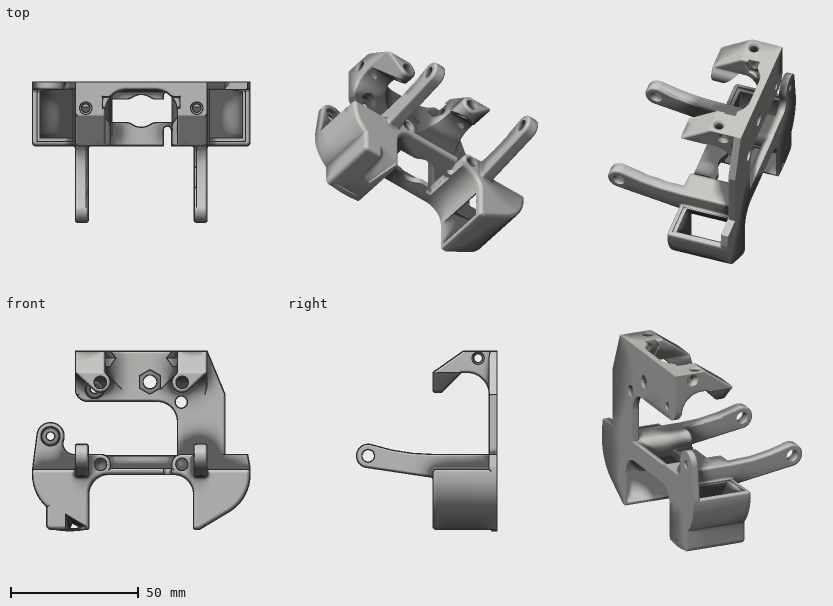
import cadquery as cq
import math


HALF_WIDTH = 42.6
TOP_Z = 70.3
BODY_DEPTH = 25.1
PLATE_THICKNESS = 3.1
EDGE_ROUND = 0.9
NEAR = 0.1

BRACKET_HALF_WIDTH = 25.8
BRACKET_BOTTOM_Z = 50.7
BRACKET_CORNER_RADIUS = 4.85
WING_INNER_X = 14.1
SLOPE_START_Y = -13.3
COVE_RADIUS = 8.5
COVE_BOTTOM_Z = 53.5
COVE_END_Y = -PLATE_THICKNESS - COVE_RADIUS
WING_FRONT_Z = COVE_BOTTOM_Z + COVE_RADIUS
SOCKET_START_Y = -14.0
SOCKET_X = 16.0
SOCKET_Z = 58.15
SOCKET_RADIUS = 3.9
SOCKET_HOLE_DIAMETER = 4.85

COLUMN_OUTER_X = 32.9
COLUMN_SLOPE_Z = 53.3
COLUMN_CORNER_RADIUS = 7.8
SIDE_TAB_X = 41.6
SIDE_TAB_LOW_Z = 24.95

SCREW_DIAMETER = 3.4
SCREW_MOUTH_DIAMETER = 4.85
WING_SCREW_Y = -7.4
WING_SCREW_Z = 67.6
WING_NUT_WIDTH = 6.6
WING_NUT_SEAT_X = 15.2
WING_NUT_Y = -8.0
TOP_SCREW_X = 21.7
TOP_SCREW_Y = -10.3
PLATE_NUT_X = 3.4
PLATE_NUT_Z = 58.3
PLATE_NUT_WIDTH = 8.35
PLATE_NUT_FLOOR = 1.3
PLATE_BORE_DIAMETER = 5.4
PLATE_HOLE_X = 15.7
PLATE_HOLE_Z = 50.4
PLATE_HOLE_DIAMETER = 4.7
PIVOT_HOLE_DIAMETER = 3.3
PIVOT_RECESS_DIAMETER = 6.7
PIVOT_RECESS_DEPTH = 2.1
PIVOT_MOUTH_CHAMFER = 0.4
BRACKET_PIVOT_X = -18.2
BRACKET_PIVOT_Z = 55.5

LUG_X = -35.5
LUG_Z = 37.0
LUG_RADIUS = 5.4
LUG_COVE_X = -26.4

RIM_Z = 24.1
SHELF_TOP_Z = 24.5
SHELF_BOTTOM_Z = 22.05
SHELF_ROUND = 0.85
LEG_INNER_X = 20.4
LEG_BOTTOM_Z = 0.6
LEG_TOE_X = 22.8
ARCH_RADIUS = 7.7
HOPPER_RADIUS = 17.0
HOPPER_WALL = 3.0
LEG_ROUND = 1.45
TOE_ROUND = 0.85
FOOT_ROUND = 1.9
LEFT_LEG_OUTER_X = -37.0
MOUTH_INNER_X = 26.4
MOUTH_BACK_Y = -3.75
MOUTH_FRONT_Y = -22.05
LEDGE_DEPTH = 1.0
LEDGE_INNER_X = 25.9
LEDGE_OUTER_X = 40.9
LEDGE_FRONT_Y = -23.4
CHUTE_BEND_Z = RIM_Z - LEDGE_DEPTH
CHUTE_EXIT_TOP_Z = 14.05
CHUTE_EXIT_BACK_Y = -0.8
CHUTE_LIP_Z = 1.9

NOTCH_X = -29.6
NOTCH_TOP_Z = 6.55
NOTCH_END_X = -21.7
NOTCH_END_Z = 1.9
LIP_THICKNESS = 2.2
LIP_LEFT_X = -34.05
LIP_RIGHT_X = -21.8
LIP_WINDOW = [(-27.9, 0.9), (-27.1, 3.1), (-24.5, 1.8), (-24.9, 0.9)]

BLOCK_INNER_X = 12.0
BLOCK_TOP_Z = 30.0
BLOCK_ROUND = 3.8
BLOCK_HOLE_X = 15.9
BLOCK_HOLE_Z = 26.05
BLOCK_HOLE_DEPTH = 6.8
DRILL_TIP_ANGLE = 118.0
BLOCK_STEP_X = 11.5
BLOCK_STEP_Z = 25.4
BAR_DEPTH = 3.9
BAR_TOP_Z = 29.5
BAR_ROUND = 3.1

GAP_BACK_Y = -6.8
GAP_FRONT_Y = -15.9
GAP_HALF_LENGTH = 12.1
BULGE_RADIUS = 6.4
BULGE_BLEND = 4.25
SLOT_X = 10.2
SLOT_WIDTH = 3.1
SLOT_END_ROUND = 1.45
SLOT_END_Y = -17.4
GAP_POCKET_X = 8.7

ARM_WIDTH = 5.1
ARM_TIP_Y = -50.4
ARM_TIP_Z = 29.4
ARM_TIP_RADIUS = 4.6
ARM_HOLE_DIAMETER = 4.85
ARM_ROOT_Z = 20.95
ARM_ROOT_FLARE = 0.85


def tangent_point(point, center, radius, side):
    """Point where a line from `point` touches a circle; side +1 is anticlockwise."""
    dx = point[0] - center[0]
    dz = point[1] - center[1]
    angle = math.atan2(dz, dx) + side * math.acos(radius / math.hypot(dx, dz))
    return polar(center, radius, angle)


def polar(center, radius, angle):
    return (center[0] + radius * math.cos(angle), center[1] + radius * math.sin(angle))


def angle_at(point, center):
    return math.atan2(point[1] - center[1], point[0] - center[0])


def front_plane(y=0.0):
    """XZ sketch plane at depth y; extrusions grow toward -Y."""
    return cq.Workplane("XZ", origin=(0, y, 0))


def box(x_range, y_range, z_range):
    """Block between the given limits."""
    size = [abs(b - a) for a, b in (x_range, y_range, z_range)]
    low = [min(pair) for pair in (x_range, y_range, z_range)]
    return cq.Workplane("XY").box(*size, centered=False).translate(tuple(low))


def both_sides(shape):
    """The shape together with its mirror image across X = 0."""
    return shape.union(shape.mirror("YZ"))


def hole_y(x, z, diameter, y=0.0, depth=BODY_DEPTH):
    return front_plane(y).center(x, z).circle(diameter / 2).extrude(depth)


def cove_beside(center, radius, foot):
    """Concave arc that leaves a level edge at `foot` and touches a circle: radius, touch point."""
    reach = foot[0] - center[0]
    rise = center[1] - foot[1]
    cove_radius = (reach**2 + rise**2 - radius**2) / (2 * (radius + rise))
    cove_center = (foot[0], foot[1] + cove_radius)
    return cove_radius, polar(center, radius, angle_at(cove_center, center))


def hopper_curve(radius, end_point):
    """Arc midpoint and end of a hopper wall: from vertical, round to a line to end_point."""
    center = (HALF_WIDTH - HOPPER_RADIUS, SHELF_BOTTOM_Z)
    end = tangent_point(end_point, center, radius, 1)
    middle = polar(center, radius, angle_at(end, center) / 2)
    return middle, end


def upper_plate():
    """Plate below and beside the wings; it stops inside them, short of the rounded recess mouth."""
    corner = COLUMN_CORNER_RADIUS
    corner_end = (-BRACKET_HALF_WIDTH, BRACKET_BOTTOM_Z + BRACKET_CORNER_RADIUS)
    plate = (
        front_plane()
        .moveTo(-BRACKET_HALF_WIDTH, SOCKET_Z)
        .lineTo(TOP_SCREW_X, SOCKET_Z)
        .lineTo(TOP_SCREW_X, TOP_Z)
        .lineTo(BRACKET_HALF_WIDTH, TOP_Z)
        .lineTo(COLUMN_OUTER_X, COLUMN_SLOPE_Z)
        .lineTo(COLUMN_OUTER_X, SHELF_BOTTOM_Z)
        .lineTo(WING_INNER_X, SHELF_BOTTOM_Z)
        .lineTo(WING_INNER_X, BRACKET_BOTTOM_Z - corner)
        .radiusArc((WING_INNER_X - corner, BRACKET_BOTTOM_Z), -corner)
        .lineTo(-BRACKET_HALF_WIDTH + BRACKET_CORNER_RADIUS, BRACKET_BOTTOM_Z)
        .radiusArc(corner_end, BRACKET_CORNER_RADIUS)
        .close()
        .extrude(PLATE_THICKNESS)
    )
    rounded = plate.faces("<Y").edges().filter(
        lambda e: SHELF_BOTTOM_Z + NEAR < e.Center().z < SOCKET_Z - NEAR
        or e.Center().x > BRACKET_HALF_WIDTH + NEAR
    )
    return plate.newObject(rounded.vals()).fillet(EDGE_ROUND)


def side_tab():
    tab = (
        front_plane()
        .polyline(
            [
                (BRACKET_HALF_WIDTH, SHELF_BOTTOM_Z),
                (HALF_WIDTH, SHELF_BOTTOM_Z),
                (HALF_WIDTH, SIDE_TAB_LOW_Z),
                (SIDE_TAB_X, BLOCK_TOP_Z),
                (BRACKET_HALF_WIDTH, BLOCK_TOP_Z),
            ]
        )
        .close()
        .extrude(PLATE_THICKNESS)
    )
    rounded = tab.faces("<Y").edges().filter(lambda e: e.Center().x > SIDE_TAB_X)
    return tab.newObject(rounded.vals()).fillet(EDGE_ROUND)


def lug_plate():
    lug = (LUG_X, LUG_Z)
    side_foot = (-HALF_WIDTH, RIM_Z)
    side_touch = tangent_point(side_foot, lug, LUG_RADIUS, -1)
    cove_radius, cove_touch = cove_beside(lug, LUG_RADIUS, (LUG_COVE_X, BLOCK_TOP_Z))
    plate = (
        front_plane()
        .moveTo(-BRACKET_HALF_WIDTH + ARM_WIDTH, SHELF_BOTTOM_Z)
        .lineTo(-HALF_WIDTH, SHELF_BOTTOM_Z)
        .lineTo(*side_foot)
        .lineTo(*side_touch)
        .threePointArc((LUG_X, LUG_Z + LUG_RADIUS), cove_touch)
        .radiusArc((LUG_COVE_X, BLOCK_TOP_Z), -cove_radius)
        .lineTo(-BRACKET_HALF_WIDTH + ARM_WIDTH, BLOCK_TOP_Z)
        .close()
        .extrude(PLATE_THICKNESS)
    )
    rounded = plate.faces("<Y").edges().filter(
        lambda e: e.Center().z > SHELF_BOTTOM_Z + NEAR and e.Center().x < LUG_COVE_X
    )
    return plate.newObject(rounded.vals()).fillet(EDGE_ROUND)


def pivot_hole(x, z):
    """Through hole with a round recess whose mouth is chamfered."""
    mouth_y = -PLATE_THICKNESS
    recess = hole_y(x, z, PIVOT_RECESS_DIAMETER, mouth_y + PIVOT_RECESS_DEPTH, COVE_RADIUS)
    mouth = (
        front_plane(mouth_y + PIVOT_MOUTH_CHAMFER)
        .center(x, z)
        .circle(PIVOT_RECESS_DIAMETER / 2)
        .workplane(offset=PIVOT_MOUTH_CHAMFER)
        .circle(PIVOT_RECESS_DIAMETER / 2 + PIVOT_MOUTH_CHAMFER)
        .loft(ruled=True)
    )
    return hole_y(x, z, PIVOT_HOLE_DIAMETER, depth=PLATE_THICKNESS).union(recess).union(mouth)


def wing():
    """The +X wing with its socket, sharp-edged, before the recess between the wings is cut."""
    body = (
        cq.Workplane("YZ")
        .moveTo(0, TOP_Z)
        .lineTo(SLOPE_START_Y, TOP_Z)
        .lineTo(-BODY_DEPTH, WING_FRONT_Z)
        .lineTo(COVE_END_Y, WING_FRONT_Z)
        .radiusArc((-PLATE_THICKNESS, COVE_BOTTOM_Z), COVE_RADIUS)
        .lineTo(0, COVE_BOTTOM_Z)
        .close()
        .extrude(BRACKET_HALF_WIDTH)
    )
    beside_recess = box((WING_INNER_X, 0), (COVE_END_Y, -2 * BODY_DEPTH), (0, TOP_Z))
    return body.cut(beside_recess).union(socket())


def on_wing_front(edge):
    """True for the outline of the sloped wing face and of the socket's front end."""
    center = edge.Center()
    on_slope = center.y < SLOPE_START_Y - NEAR and center.z > WING_FRONT_Z + NEAR
    on_front = abs(center.y + BODY_DEPTH) < NEAR
    return on_slope or on_front


def socket():
    """Round socket hanging below the front of the +X wing, cut back at 45 degrees."""
    center = (SOCKET_X, SOCKET_Z)
    outer_top = (BRACKET_HALF_WIDTH, WING_FRONT_Z)
    inner_top = (WING_INNER_X, WING_FRONT_Z)
    outer_touch = tangent_point(outer_top, center, SOCKET_RADIUS, -1)
    inner_touch = tangent_point(inner_top, center, SOCKET_RADIUS, 1)
    body = (
        front_plane()
        .moveTo(*inner_top)
        .lineTo(*inner_touch)
        .threePointArc((SOCKET_X, SOCKET_Z - SOCKET_RADIUS), outer_touch)
        .lineTo(*outer_top)
        .close()
        .extrude(BODY_DEPTH)
    )
    drop = BODY_DEPTH + SOCKET_START_Y
    cut_back = (
        cq.Workplane("YZ")
        .polyline(
            [
                (SOCKET_START_Y, WING_FRONT_Z),
                (-BODY_DEPTH, WING_FRONT_Z),
                (-BODY_DEPTH, WING_FRONT_Z - drop),
            ]
        )
        .close()
        .extrude(BRACKET_HALF_WIDTH)
    )
    return body.intersect(cut_back)


def wing_recess():
    """Rounded recess open to the front."""
    flat_half = WING_INNER_X - COVE_RADIUS
    return (
        cq.Workplane("XY", origin=(0, 0, COVE_BOTTOM_Z))
        .moveTo(-WING_INNER_X, COVE_END_Y)
        .radiusArc((-flat_half, -PLATE_THICKNESS), COVE_RADIUS)
        .lineTo(flat_half, -PLATE_THICKNESS)
        .radiusArc((WING_INNER_X, COVE_END_Y), COVE_RADIUS)
        .close()
        .extrude(TOP_Z)
    )


def rounded_bracket():
    """Both wings joined, with the recess cut and its mouth at the top face rounded over."""
    bracket = both_sides(wing()).cut(wing_recess())
    mouth = bracket.faces(">Z").edges().filter(
        lambda e: abs(e.Center().x) < WING_INNER_X and -BODY_DEPTH / 2 < e.Center().y < -NEAR
    )
    bracket = bracket.newObject(mouth.vals()).fillet(EDGE_ROUND)
    fronts = bracket.edges().filter(on_wing_front)
    bracket = bracket.newObject(fronts.vals()).fillet(EDGE_ROUND)
    outer_cove = bracket.edges().filter(
        lambda e: abs(e.Center().x) > BRACKET_HALF_WIDTH - NEAR
        and SOCKET_START_Y < e.Center().y < -PLATE_THICKNESS
        and COVE_BOTTOM_Z < e.Center().z < WING_FRONT_Z + NEAR
    )
    return bracket.newObject(outer_cove.vals()).fillet(EDGE_ROUND)


def plate_corner_waste():
    """Material outside the rounded lower left corner of the bracket."""
    left = -BRACKET_HALF_WIDTH
    radius = BRACKET_CORNER_RADIUS
    return (
        front_plane()
        .moveTo(left, BRACKET_BOTTOM_Z + radius)
        .lineTo(left, BRACKET_BOTTOM_Z)
        .lineTo(left + radius, BRACKET_BOTTOM_Z)
        .radiusArc((left, BRACKET_BOTTOM_Z + radius), radius)
        .close()
        .extrude(BODY_DEPTH)
    )


def wing_holes():
    """Holes of the +X wing: socket bore, top screw, and side screw with its nut pocket."""
    bore = hole_y(SOCKET_X, SOCKET_Z, SOCKET_HOLE_DIAMETER, SOCKET_START_Y)
    top_screw = (
        cq.Workplane("XY", origin=(TOP_SCREW_X, TOP_SCREW_Y, TOP_Z))
        .circle(SCREW_DIAMETER / 2)
        .extrude(-COVE_RADIUS)
        .union(screw_mouth(cq.Plane((TOP_SCREW_X, TOP_SCREW_Y, TOP_Z), (1, 0, 0), (0, 0, -1))))
    )
    side_plane = cq.Plane((BRACKET_HALF_WIDTH, WING_SCREW_Y, WING_SCREW_Z), (0, 1, 0), (-1, 0, 0))
    side_screw = (
        cq.Workplane(side_plane)
        .circle(SCREW_DIAMETER / 2)
        .extrude(BRACKET_HALF_WIDTH - WING_INNER_X + COVE_RADIUS)
        .union(screw_mouth(side_plane))
    )
    nut = (
        cq.Workplane(side_plane)
        .workplane(offset=BRACKET_HALF_WIDTH - WING_NUT_SEAT_X)
        .center(WING_NUT_Y - WING_SCREW_Y, 0)
        .polygon(6, hex_corners(WING_NUT_WIDTH))
        .extrude(COVE_RADIUS)
    )
    return bore.union(top_screw).union(side_screw).union(nut)


def hex_corners(across_flats):
    return across_flats / math.cos(math.pi / 6)


def screw_mouth(plane):
    """Countersink that narrows at 45 degrees into the part along the plane's normal."""
    depth = (SCREW_MOUTH_DIAMETER - SCREW_DIAMETER) / 2
    return (
        cq.Workplane(plane)
        .circle(SCREW_MOUTH_DIAMETER / 2)
        .workplane(offset=depth)
        .circle(SCREW_DIAMETER / 2)
        .loft(ruled=True)
    )


def plate_holes():
    nut = (
        front_plane(-PLATE_NUT_FLOOR)
        .center(PLATE_NUT_X, PLATE_NUT_Z)
        .transformed(rotate=(0, 0, 90))
        .polygon(6, hex_corners(PLATE_NUT_WIDTH))
        .extrude(COVE_RADIUS)
    )
    return (
        nut.union(hole_y(PLATE_NUT_X, PLATE_NUT_Z, PLATE_BORE_DIAMETER))
        .union(hole_y(PLATE_HOLE_X, PLATE_HOLE_Z, PLATE_HOLE_DIAMETER))
        .union(pivot_hole(LUG_X, LUG_Z))
        .union(pivot_hole(BRACKET_PIVOT_X, BRACKET_PIVOT_Z))
    )


def hopper_frame():
    """Solid outline of both hoppers, legs, arch and shelf, symmetric about X = 0."""
    middle, bend = hopper_curve(HOPPER_RADIUS, (LEG_TOE_X, LEG_BOTTOM_Z))
    arch_start = LEG_INNER_X - ARCH_RADIUS
    arch_foot_z = SHELF_BOTTOM_Z - ARCH_RADIUS
    half = (
        front_plane()
        .moveTo(0, SHELF_TOP_Z)
        .lineTo(BRACKET_HALF_WIDTH - ARM_WIDTH, SHELF_TOP_Z)
        .lineTo(BRACKET_HALF_WIDTH - ARM_WIDTH, RIM_Z)
        .lineTo(HALF_WIDTH, RIM_Z)
        .lineTo(HALF_WIDTH, SHELF_BOTTOM_Z)
        .threePointArc(middle, bend)
        .lineTo(LEG_TOE_X, LEG_BOTTOM_Z)
        .lineTo(LEG_INNER_X, LEG_BOTTOM_Z)
        .lineTo(LEG_INNER_X, arch_foot_z)
        .radiusArc((arch_start, SHELF_BOTTOM_Z), -ARCH_RADIUS)
        .lineTo(0, SHELF_BOTTOM_Z)
        .close()
        .extrude(BODY_DEPTH)
    )
    frame = both_sides(half).union(left_leg_block()).clean()
    bottom = frame.faces("<Z").edges("|Y")
    outer_foot = bottom.filter(lambda e: e.Center().x < LEFT_LEG_OUTER_X + NEAR)
    frame = frame.newObject(outer_foot.vals()).fillet(FOOT_ROUND)
    toes = frame.edges("|Y").filter(
        lambda e: e.Center().z < LEG_BOTTOM_Z + NEAR and abs(e.Center().x) < LEG_TOE_X + NEAR
    )
    frame = frame.newObject(toes.vals()).fillet(TOE_ROUND)
    side_rims = frame.edges("|Y").filter(
        lambda e: e.Center().z > RIM_Z - NEAR and abs(e.Center().x) > SIDE_TAB_X
    )
    frame = frame.newObject(side_rims.vals()).fillet(EDGE_ROUND)
    front = frame.faces("<Y").edges().filter(lambda e: e.Center().z < RIM_Z + NEAR)
    return frame.newObject(front.vals()).fillet(LEG_ROUND)


def left_leg_block():
    """Square foot that fills in under the left hopper."""
    foot_top_z = SHELF_BOTTOM_Z - ARCH_RADIUS
    return box((LEFT_LEG_OUTER_X, -LEG_INNER_X), (0, -BODY_DEPTH), (LEG_BOTTOM_Z, foot_top_z))


def chute():
    """Passage from the mouth of the +X hopper, curving and widening to the leg's inner side."""
    middle, bend = hopper_curve(HOPPER_RADIUS - HOPPER_WALL, (LEG_INNER_X, CHUTE_LIP_Z))
    mouth_outer_x = HALF_WIDTH - HOPPER_WALL
    profile = (
        front_plane(CHUTE_EXIT_BACK_Y)
        .moveTo(MOUTH_INNER_X, RIM_Z)
        .lineTo(mouth_outer_x, RIM_Z)
        .lineTo(mouth_outer_x, SHELF_BOTTOM_Z)
        .threePointArc(middle, bend)
        .lineTo(LEG_INNER_X, CHUTE_LIP_Z)
        .lineTo(LEG_INNER_X, CHUTE_EXIT_TOP_Z)
        .lineTo(MOUTH_INNER_X, CHUTE_BEND_Z)
        .close()
        .extrude(CHUTE_EXIT_BACK_Y - MOUTH_FRONT_Y)
    )
    mouth = box((MOUTH_INNER_X, mouth_outer_x), (MOUTH_BACK_Y, MOUTH_FRONT_Y), (CHUTE_BEND_Z, RIM_Z))
    flare = (
        cq.Workplane("XY")
        .polyline(
            [
                (LEG_INNER_X, CHUTE_EXIT_BACK_Y),
                (LEG_INNER_X, MOUTH_FRONT_Y),
                (mouth_outer_x, MOUTH_FRONT_Y),
                (mouth_outer_x, MOUTH_BACK_Y),
            ]
        )
        .close()
        .extrude(CHUTE_BEND_Z)
    )
    passage = profile.intersect(flare.union(mouth))
    ledge = box(
        (LEDGE_INNER_X, LEDGE_OUTER_X), (-PLATE_THICKNESS, LEDGE_FRONT_Y), (RIM_Z - LEDGE_DEPTH, RIM_Z)
    )
    return passage.union(ledge)


def leg_notch():
    """Sloped notch under the left leg, narrowing from the front to a window in the back lip."""
    front = [(NOTCH_X, 0), (NOTCH_X, NOTCH_TOP_Z), (NOTCH_END_X, NOTCH_END_Z), (NOTCH_END_X, 0)]
    tunnel = (
        front_plane(-LIP_THICKNESS)
        .polyline(LIP_WINDOW)
        .close()
        .workplane(offset=BODY_DEPTH - LIP_THICKNESS)
        .polyline(front)
        .close()
        .loft(ruled=True)
    )
    return tunnel.union(front_plane().polyline(LIP_WINDOW).close().extrude(LIP_THICKNESS))


def leg_lip():
    """Shallow bowed lip along the back of the left leg, down to the lowest point."""
    return (
        front_plane()
        .moveTo(LIP_LEFT_X, LEG_BOTTOM_Z)
        .threePointArc(((LIP_LEFT_X + LIP_RIGHT_X) / 2, 0), (LIP_RIGHT_X, LEG_BOTTOM_Z))
        .close()
        .extrude(LIP_THICKNESS)
    )


def center_block():
    """The +X block between shelf and arm, rounded along its inner top edge."""
    outer_x = BRACKET_HALF_WIDTH - ARM_WIDTH / 2
    block = box((BLOCK_INNER_X, outer_x), (0, -BODY_DEPTH), (RIM_Z, BLOCK_TOP_Z))
    block = block.edges("|Y and <X and >Z").fillet(BLOCK_ROUND)
    front = block.faces("<Y").edges().filter(lambda e: e.Center().z > SHELF_TOP_Z)
    return block.newObject(front.vals()).fillet(EDGE_ROUND)


def block_step():
    """Low step along the inner foot of the left block."""
    return box((-BLOCK_HOLE_X, -BLOCK_STEP_X), (0, -BODY_DEPTH + SOCKET_RADIUS), (RIM_Z, BLOCK_STEP_Z))


def back_bar():
    bar = box((-BLOCK_HOLE_X, BLOCK_HOLE_X), (0, -BAR_DEPTH), (SHELF_BOTTOM_Z, BAR_TOP_Z))
    return bar.edges("<Y and >Z").fillet(BAR_ROUND)


def block_holes():
    """Blind front holes: the left one ends in a drill cone, the right one is flat."""
    start_y = BLOCK_HOLE_DEPTH - BODY_DEPTH
    right = hole_y(BLOCK_HOLE_X, BLOCK_HOLE_Z, SOCKET_HOLE_DIAMETER, start_y)
    left = hole_y(-BLOCK_HOLE_X, BLOCK_HOLE_Z, SOCKET_HOLE_DIAMETER, start_y)
    tip_length = SOCKET_HOLE_DIAMETER / 2 / math.tan(math.radians(DRILL_TIP_ANGLE / 2))
    tip_base = cq.Vector(-BLOCK_HOLE_X, start_y, BLOCK_HOLE_Z)
    tip = cq.Solid.makeCone(SOCKET_HOLE_DIAMETER / 2, 0, tip_length, tip_base, cq.Vector(0, 1, 0))
    return right.union(left).union(cq.Workplane(tip))


def shelf_opening():
    """Waisted opening in the shelf with a pocket and an open-ended slot at its +X end."""
    shelf = (SHELF_BOTTOM_Z, SHELF_TOP_Z)
    gap = box((-GAP_HALF_LENGTH, GAP_HALF_LENGTH), (GAP_BACK_Y, GAP_FRONT_Y), shelf)
    bulge = (
        cq.Workplane("XY", origin=(0, (GAP_BACK_Y + GAP_FRONT_Y) / 2, SHELF_BOTTOM_Z))
        .circle(BULGE_RADIUS)
        .extrude(SHELF_TOP_Z - SHELF_BOTTOM_Z)
    )
    waisted = gap.union(bulge)
    blends = waisted.edges("|Z").filter(lambda e: abs(e.Center().x) < BULGE_RADIUS)
    waisted = waisted.newObject(blends.vals()).fillet(BULGE_BLEND)
    pocket = box((GAP_POCKET_X, GAP_HALF_LENGTH), (-BAR_DEPTH, GAP_FRONT_Y), shelf)
    pocket = pocket.edges("|Z and >Y and <X").fillet(SLOT_WIDTH / 2)
    slot = box((SLOT_X - SLOT_WIDTH / 2, SLOT_X + SLOT_WIDTH / 2), (SLOT_END_Y, -BODY_DEPTH), shelf)
    slot = slot.edges("|Z and >Y").fillet(SLOT_END_ROUND)
    return waisted.union(pocket).union(slot)


def arm():
    """The +X arm: straight along the block, then curving up to a round eye."""
    tip = (ARM_TIP_Y, ARM_TIP_Z)
    root_top = (-BODY_DEPTH, BLOCK_TOP_Z)
    root_bottom = (-BODY_DEPTH, ARM_ROOT_Z)
    top_radius, top_touch = cove_beside(tip, ARM_TIP_RADIUS, root_top)
    bottom_touch = tangent_point(root_bottom, tip, ARM_TIP_RADIUS, -1)
    body = (
        cq.Workplane("YZ", origin=(BRACKET_HALF_WIDTH - ARM_WIDTH, 0, 0))
        .moveTo(0, BLOCK_TOP_Z)
        .lineTo(*root_top)
        .radiusArc(top_touch, top_radius)
        .threePointArc((ARM_TIP_Y - ARM_TIP_RADIUS, ARM_TIP_Z), bottom_touch)
        .lineTo(*root_bottom)
        .lineTo(0, ARM_ROOT_Z)
        .close()
        .extrude(ARM_WIDTH)
    )
    rounded = body.faces("|X").edges().filter(
        lambda e: e.Center().y < -NEAR and e.Center().z > ARM_ROOT_Z
    )
    body = body.newObject(rounded.vals()).fillet(EDGE_ROUND)
    eye = (
        cq.Workplane("YZ").center(*tip).circle(ARM_HOLE_DIAMETER / 2).extrude(BRACKET_HALF_WIDTH)
    )
    return body.cut(eye)


def on_arm_root(edge):
    """True for the corners where an arm meets the front face."""
    center = edge.Center()
    on_front = abs(center.y + BODY_DEPTH) < NEAR
    beside_arm = abs(abs(center.x) - BRACKET_HALF_WIDTH + ARM_WIDTH / 2) < ARM_WIDTH / 2 + NEAR
    return on_front and beside_arm and ARM_ROOT_Z - NEAR < center.z < BLOCK_TOP_Z - EDGE_ROUND


def on_shelf_front(edge):
    """True for the upper front edge of the shelf between the blocks."""
    center = edge.Center()
    target = cq.Vector(0, -BODY_DEPTH, SHELF_TOP_Z)
    return (center - target).Length < NEAR


def front_structure():
    """Hoppers, blocks and arms, with filled arm roots and a rounded shelf front."""
    body = hopper_frame().union(both_sides(center_block())).union(both_sides(arm()))
    roots = body.edges().filter(on_arm_root)
    body = body.newObject(roots.vals()).fillet(ARM_ROOT_FLARE)
    shelf_front = body.edges().filter(on_shelf_front)
    return body.newObject(shelf_front.vals()).fillet(SHELF_ROUND)


lower = (
    front_structure()
    .union(back_bar())
    .union(block_step())
    .union(side_tab())
    .union(lug_plate())
    .union(leg_lip())
    .cut(both_sides(chute()))
    .cut(leg_notch())
    .cut(shelf_opening())
    .cut(block_holes())
)
bracket = rounded_bracket().cut(both_sides(wing_holes())).cut(plate_corner_waste())
result = lower.union(upper_plate()).union(bracket).cut(plate_holes())